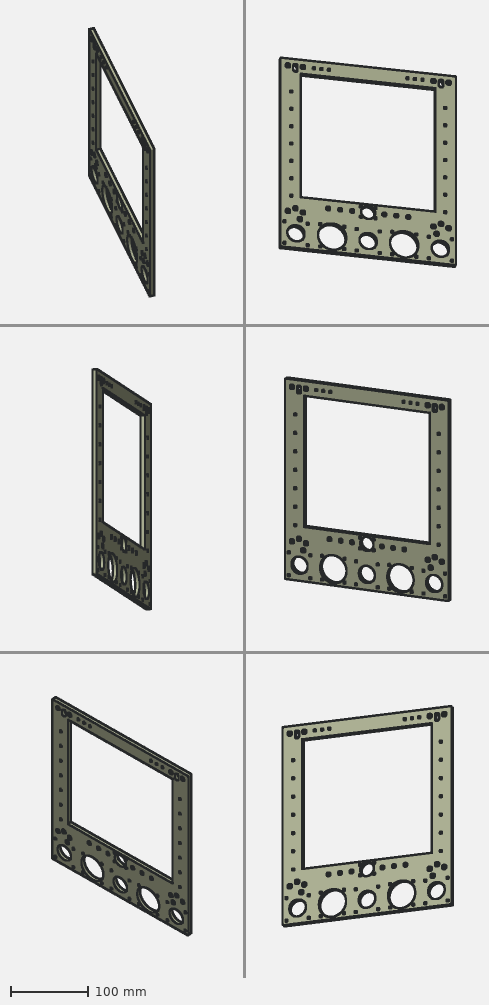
import cadquery as cq

WIDTH = 235.0
THICKNESS = 6.0
HEIGHT = 272.0
CORNER_RADIUS = 2.0

WINDOW_WIDTH = 180.0
WINDOW_TOP = 116.0
WINDOW_BOTTOM = -62.0

SCREW_DIAMETER = 3.0
ROW_DIAMETER = 5.2
MOUNT_DIAMETER = 6.0

MOUNT_INSET = 10.0
MOUNT_PITCH = 10.0
SLOT_TRAVEL = 5.0
LOWER_MOUNT_Z = -83.8
LOWER_MOUNT_RISE = 5.0
EXTRA_MOUNT_X = 91.5
EXTRA_MOUNT_Z = -93.8

TOP_SCREW_X = 52.5
TOP_SCREW_PITCH = 10.0
TOP_SCREW_COUNT = 3

SIDE_SCREW_X = 102.8
SIDE_SCREW_TOP = 89.0
SIDE_SCREW_PITCH = 25.0
SIDE_SCREW_COUNT = 7

ROW_X = 21.5
ROW_Z = -74.0
ROW_PITCH = 16.0
ROW_COUNT = 3

SMALL_OPENING_DIAMETER = 19.0
SMALL_OPENING_Z = -73.5
SMALL_SCREW_SPACING_X = 19.5
SMALL_SCREW_SPACING_Z = 14.7

MEDIUM_OPENING_DIAMETER = 23.0
MEDIUM_OPENING_X = 96.5
MEDIUM_OPENING_Z = -114.8
MEDIUM_SCREW_SPACING = 31.0

LARGE_OPENING_DIAMETER = 37.8
LARGE_OPENING_X = 48.1
LARGE_OPENING_Z = -114.0
LARGE_SCREW_SPACING = 32.0


def face_plane():
    """Sketch plane on the back face; local x, y are global X, Z and it extrudes toward -Y."""
    return cq.Workplane("XZ", origin=(0, THICKNESS / 2, 0))


def mirrored(points):
    """The given points together with their mirror images about X = 0."""
    return [(side * x, z) for side in (-1, 1) for x, z in points]


def round_holes(points, diameter):
    """Through cylinders at the given (x, z) points."""
    return face_plane().pushPoints(points).circle(diameter / 2).extrude(THICKNESS)


def screw_corners(x, z, spacing_x, spacing_z):
    """Corners of a screw rectangle centred on (x, z)."""
    return [
        (x + i * spacing_x / 2, z + j * spacing_z / 2)
        for i in (-1, 1)
        for j in (-1, 1)
    ]


def make_plate():
    plate = cq.Workplane("XY").box(WIDTH, THICKNESS, HEIGHT)
    return plate.edges("|Y").fillet(CORNER_RADIUS)


def make_window():
    height = WINDOW_TOP - WINDOW_BOTTOM
    middle = (WINDOW_TOP + WINDOW_BOTTOM) / 2
    return face_plane().center(0, middle).rect(WINDOW_WIDTH, height).extrude(THICKNESS)


outer_x = WIDTH / 2 - MOUNT_INSET
middle_x = outer_x - MOUNT_PITCH
inner_x = middle_x - MOUNT_PITCH
upper_mount_z = HEIGHT / 2 - MOUNT_INSET
mount_points = mirrored([
    (outer_x, upper_mount_z),
    (inner_x, upper_mount_z),
    (outer_x, LOWER_MOUNT_Z),
    (middle_x, LOWER_MOUNT_Z + LOWER_MOUNT_RISE),
    (inner_x, LOWER_MOUNT_Z),
    (EXTRA_MOUNT_X, EXTRA_MOUNT_Z),
])

slots = (
    face_plane()
    .pushPoints(mirrored([(middle_x, upper_mount_z - SLOT_TRAVEL / 2)]))
    .slot2D(SLOT_TRAVEL + MOUNT_DIAMETER, MOUNT_DIAMETER, 90)
    .extrude(THICKNESS)
)

top_screws = mirrored(
    [(TOP_SCREW_X + i * TOP_SCREW_PITCH, upper_mount_z) for i in range(TOP_SCREW_COUNT)]
)
side_screws = mirrored(
    [(SIDE_SCREW_X, SIDE_SCREW_TOP - i * SIDE_SCREW_PITCH) for i in range(SIDE_SCREW_COUNT)]
)
row_points = mirrored([(ROW_X + i * ROW_PITCH, ROW_Z) for i in range(ROW_COUNT)])

small_opening = (0, SMALL_OPENING_Z)
medium_openings = [(0, MEDIUM_OPENING_Z)] + mirrored([(MEDIUM_OPENING_X, MEDIUM_OPENING_Z)])
large_openings = mirrored([(LARGE_OPENING_X, LARGE_OPENING_Z)])

opening_screws = screw_corners(*small_opening, SMALL_SCREW_SPACING_X, SMALL_SCREW_SPACING_Z)
for x, z in medium_openings:
    opening_screws += screw_corners(x, z, MEDIUM_SCREW_SPACING, MEDIUM_SCREW_SPACING)
for x, z in large_openings:
    opening_screws += screw_corners(x, z, LARGE_SCREW_SPACING, LARGE_SCREW_SPACING)

result = (
    make_plate()
    .cut(make_window())
    .cut(slots)
    .cut(round_holes(mount_points, MOUNT_DIAMETER))
    .cut(round_holes(row_points, ROW_DIAMETER))
    .cut(round_holes(top_screws + side_screws + opening_screws, SCREW_DIAMETER))
    .cut(round_holes([small_opening], SMALL_OPENING_DIAMETER))
    .cut(round_holes(medium_openings, MEDIUM_OPENING_DIAMETER))
    .cut(round_holes(large_openings, LARGE_OPENING_DIAMETER))
)